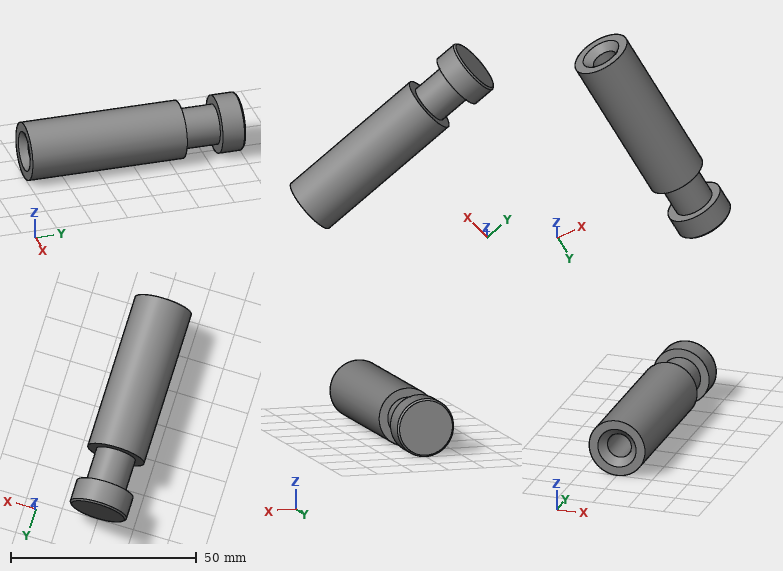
import cadquery as cq
import math

length = 60.0
outer_radius = 15.9 / 2
neck_radius = 11.0 / 2
head_length = 6.55
neck_length = 10.0
head_chamfer = 0.5

mouth_radius = 10.85 / 2
hole_radius = 6.8 / 2
countersink_angle = 90.0
hole_depth = 18.0
drill_tip_angle = 118.0

front_y = -length / 2
back_y = length / 2
head_y = back_y - head_length
body_y = head_y - neck_length


def cone_height(radius_change, included_angle):
    return radius_change / math.tan(math.radians(included_angle / 2))


countersink_depth = cone_height(mouth_radius - hole_radius, countersink_angle)
tip_height = cone_height(hole_radius, drill_tip_angle)

half_section = [
    (mouth_radius, front_y),
    (outer_radius, front_y),
    (outer_radius, body_y),
    (neck_radius, body_y),
    (neck_radius, head_y),
    (outer_radius, head_y),
    (outer_radius, back_y - head_chamfer),
    (outer_radius - head_chamfer, back_y),
    (0, back_y),
    (0, front_y + hole_depth + tip_height),
    (hole_radius, front_y + hole_depth),
    (hole_radius, front_y + countersink_depth),
]

result = cq.Workplane("XY").polyline(half_section).close().revolve(360, (0, 0, 0), (0, 1, 0))